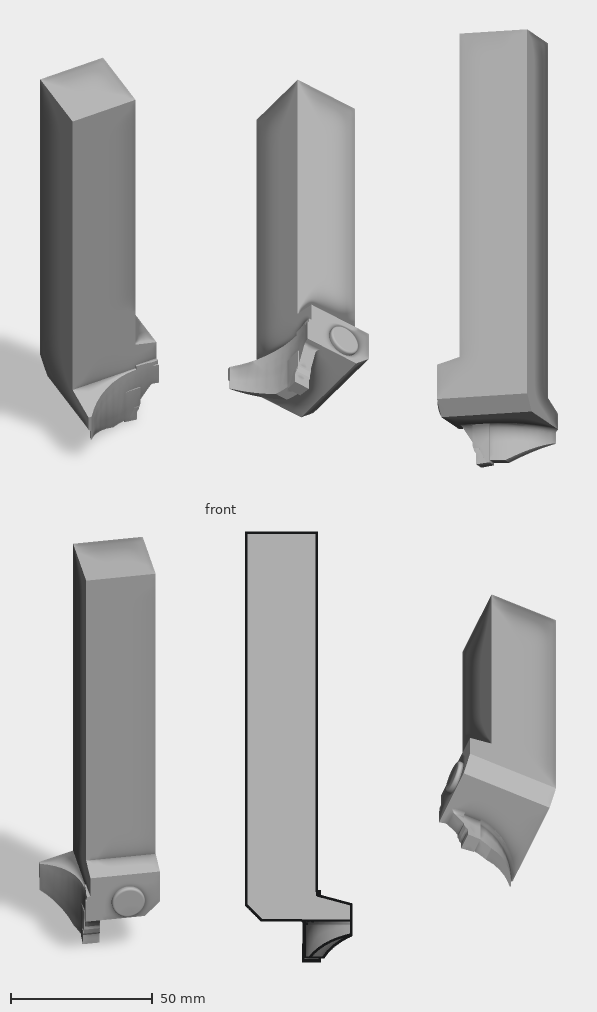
import cadquery as cq
import math


total_height = 151.4
shank_size = 25.0
head_width = 37.2
head_depth = 33.3
head_bottom = 14.5
corner_chamfer = 5.5
ledge_slope = math.tan(math.radians(15))
side_ledge_top = 23.5
back_ledge_top = 34.7
lug_top = 24.8
lug_width = 1.2

clearance_radius = 30.0
clearance_left = 25.6
clearance_center_y = 25.0

blade_radius = 25.9
blade_left = 20.5
blade_bottom = 1.4
blade_front_height = 10.0
blade_slope = math.tan(math.radians(30))
jaw_back = 30.7
jaw_bottom = 8.2
root_fillet = 1.4
root_plate = 3.0

screw_diameter = 11.8
screw_height = 1.8
screw_x = 11.5
screw_z = 21.6
screw_fillet = 0.8

insert_front = 20.1
insert_back = 26.5
insert_center_x = 23.2
insert_width = 5.6
heel_slope = math.tan(math.radians(6))
edge_width = 6.0
edge_y = 25.0
rake_top = 3.8
breaker_bottom = 4.8
breaker_y = 25.7
breaker_top = 7.0
flank_front = 21.2
flank_shoulder = 24.0
flank_top = 5.9

reach = 90.8


def side_profile(points, x_start, x_length):
    """Extrude a Y-Z outline along +X."""
    return cq.Workplane("YZ").workplane(offset=x_start).polyline(points).close().extrude(x_length)


def upright_cylinder(left, radius):
    """Vertical cylinder through the full height, placed by its leftmost X."""
    return cq.Workplane("XY").center(left + radius, clearance_center_y).circle(radius).extrude(total_height)


def make_shank():
    """Shank and front part of the head, with the lower corner cut off."""
    outline = [
        (0, total_height),
        (0, head_bottom + corner_chamfer),
        (corner_chamfer, head_bottom),
        (head_width, head_bottom),
        (head_width, side_ledge_top - (head_width - shank_size) * ledge_slope),
        (shank_size, side_ledge_top),
        (shank_size, total_height),
    ]
    body = cq.Workplane("XZ").polyline(outline).close().extrude(-head_depth)
    behind_shank = [
        (shank_size, total_height),
        (shank_size, back_ledge_top),
        (head_depth, back_ledge_top - (head_depth - shank_size) * ledge_slope),
        (head_depth, total_height),
    ]
    return body.cut(side_profile(behind_shank, 0, head_width))


def make_lug():
    """Low lug beside the back half of the head."""
    lug_size = (lug_width, head_depth - shank_size, lug_top - head_bottom)
    return cq.Workplane("XY").box(*lug_size, centered=False).translate((shank_size, shank_size, head_bottom))


def make_blade():
    """Curved blade, filleted where it leaves the head and trimmed to the head's front, back and side."""
    blade_profile = [
        (-reach, head_bottom),
        (-reach, blade_front_height),
        (0, blade_front_height),
        ((blade_front_height - blade_bottom) / blade_slope, blade_bottom),
        (insert_back, blade_bottom),
        (insert_back, jaw_bottom),
        (jaw_back, head_bottom),
    ]
    blade = upright_cylinder(blade_left, blade_radius).intersect(side_profile(blade_profile, 0, reach))
    plate = cq.Workplane("XY").box(2 * reach, 2 * reach, root_plate, centered=(True, True, False))
    rooted = blade.union(plate.translate((0, 0, head_bottom)))
    half_box = reach - root_plate
    junction = cq.selectors.BoxSelector(
        (-half_box, -half_box, head_bottom - root_plate / 2),
        (half_box, half_box, head_bottom + root_plate / 2),
    )
    rooted = rooted.edges(junction).edges("not |Z").fillet(root_fillet)
    envelope = cq.Workplane("XY").box(
        head_width - corner_chamfer, head_depth, head_bottom + root_plate, centered=False
    )
    return rooted.intersect(envelope.translate((corner_chamfer, 0, 0)))


def make_screw_head():
    """Round screw head standing out of the back of the head."""
    plane = cq.Workplane("XZ", origin=(screw_x, head_depth, screw_z))
    return plane.circle(screw_diameter / 2).extrude(-screw_height).faces(">Y").edges().fillet(screw_fillet)


def make_holder():
    """Holder with its blade, clearance hollow, screw head and insert seat."""
    body = make_shank().union(make_lug()).union(make_blade())
    body = body.cut(upright_cylinder(clearance_left, clearance_radius))
    seat = cq.Workplane("XY").box(reach, insert_back - insert_front, head_bottom, centered=False)
    body = body.cut(seat.translate((0, insert_front, 0)))
    return body.union(make_screw_head())


def make_insert():
    """Upright insert bar whose cutting end widens towards the cutting edge."""
    bar_profile = [
        (insert_front, head_bottom),
        (insert_front, (edge_y - insert_front) * heel_slope),
        (edge_y, 0),
        (edge_y, rake_top),
        (breaker_y, breaker_bottom),
        (insert_back, breaker_top),
        (insert_back, head_bottom),
    ]
    bar = side_profile(bar_profile, insert_center_x - insert_width / 2, insert_width)
    flank_profile = [
        (flank_front, (edge_y - flank_front) * heel_slope),
        (edge_y, 0),
        (edge_y, rake_top),
        (breaker_y, breaker_bottom),
        (breaker_y, flank_top),
        (flank_shoulder, flank_top),
    ]
    flanks = side_profile(flank_profile, insert_center_x - edge_width / 2, edge_width)
    flank_taper = [
        (insert_center_x - insert_width / 2, flank_front),
        (insert_center_x - edge_width / 2, edge_y),
        (insert_center_x - edge_width / 2, insert_back),
        (insert_center_x + edge_width / 2, insert_back),
        (insert_center_x + edge_width / 2, edge_y),
        (insert_center_x + insert_width / 2, flank_front),
    ]
    taper_column = cq.Workplane("XY").polyline(flank_taper).close().extrude(head_bottom)
    return bar.union(flanks.intersect(taper_column))


holder = make_holder()
insert = make_insert()
result = cq.Compound.makeCompound([holder.solids().val(), insert.solids().val()])